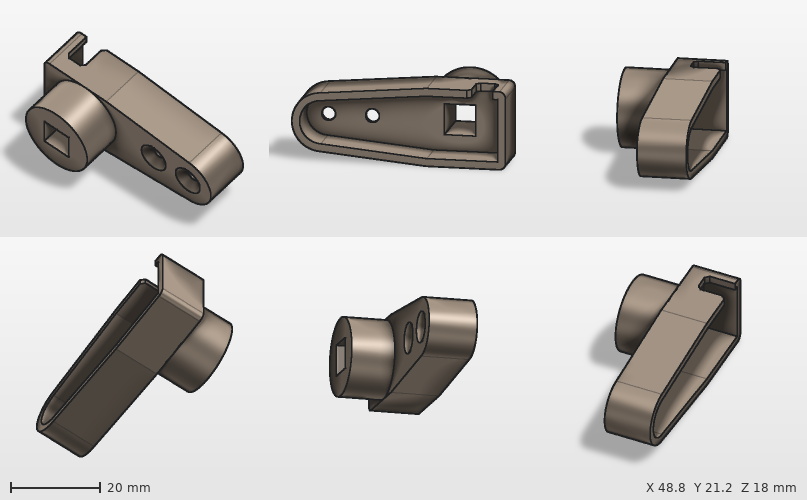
import cadquery as cq
import math

length = 48.75
height = 18.0
arm_depth = 11.2
corner_radius = 1.45
tip_radius = 6.8
taper_start_x = 18.05
taper_end_x = 42.3

boss_diameter = height
boss_length = 10.0
boss_x = 12.0
square_side = 7.1

screw_diameter = 3.1
countersink_diameter = 7.1
countersink_angle = 90.0
tip_x = length - tip_radius
screw_spacing = 10.0
screw_positions = [(tip_x - screw_spacing, 0), (tip_x, 0)]

wall = 1.8
front_wall = 3.0
cavity_depth = arm_depth - front_wall
notch_left_x = 2.92
notch_width = 4.95
notch_depth = 7.1
notch_chamfer = 0.9


def arm_outline(inset):
    """Closed XZ outline of the arm, moved inwards by inset."""
    inner_half = height / 2 - inset
    radius = tip_radius - inset
    end_angle = math.asin((taper_end_x - tip_x) / tip_radius)
    end_x = tip_x + radius * math.sin(end_angle)
    end_z = radius * math.cos(end_angle)
    return (
        cq.Workplane("XZ")
        .moveTo(inset, -inner_half)
        .lineTo(taper_start_x, -inner_half)
        .lineTo(end_x, -end_z)
        .threePointArc((tip_x + radius, 0), (end_x, end_z))
        .lineTo(taper_start_x, inner_half)
        .lineTo(inset, inner_half)
        .close()
    )


def make_arm():
    """Solid arm from its front face at Y = 0 back to Y = arm_depth."""
    return arm_outline(0).extrude(-arm_depth).edges("|Y and <X").fillet(corner_radius)


def make_boss():
    """Cylinder standing forward of the front face."""
    return cq.Workplane("XZ").center(boss_x, 0).circle(boss_diameter / 2).extrude(boss_length)


def make_cavity():
    """Hollow that leaves a wall around the arm."""
    return arm_outline(wall).extrude(-cavity_depth).translate((0, front_wall, 0))


def make_square_hole():
    """Drive hole through the boss and the front wall."""
    return (
        cq.Workplane("XZ", origin=(boss_x, -boss_length, 0))
        .rect(square_side, square_side)
        .extrude(-(boss_length + arm_depth))
    )


def make_notch():
    """Notch through the top wall: chamfered inner corners and a bevel at the right of its mouth."""
    right_x = notch_left_x + notch_width
    end_y = arm_depth - notch_depth
    return (
        cq.Workplane("XY")
        .moveTo(notch_left_x, arm_depth)
        .lineTo(notch_left_x, end_y + notch_chamfer)
        .lineTo(notch_left_x + notch_chamfer, end_y)
        .lineTo(right_x - notch_chamfer, end_y)
        .lineTo(right_x, end_y + notch_chamfer)
        .lineTo(right_x, arm_depth - notch_chamfer)
        .lineTo(right_x + notch_chamfer, arm_depth)
        .close()
        .extrude(height / 2)
    )


def cut_screw_holes(body):
    """Screw holes through the front wall, countersunk from the front."""
    return (
        body.copyWorkplane(cq.Workplane("XZ"))
        .pushPoints(screw_positions)
        .cskHole(screw_diameter, countersink_diameter, countersink_angle)
    )


arm = make_arm().cut(make_cavity())
arm = cut_screw_holes(arm)
result = arm.union(make_boss()).cut(make_square_hole()).cut(make_notch())